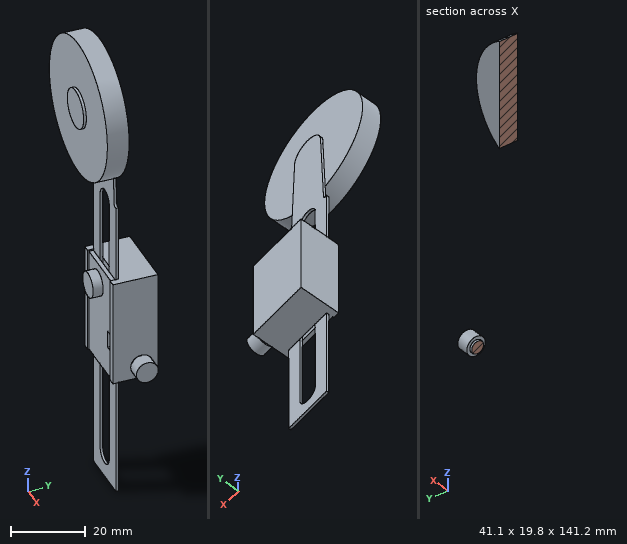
import cadquery as cq


wheel_diameter = 41.15
wheel_thickness = 6.35
spacer_diameter = 7.9
spacer_length = 1.27
rivet_head_diameter = 11.5
rivet_head_thickness = 0.8

overall_height = 141.22
bar_width = 15.875
bar_thickness = 0.8
bar_bottom = wheel_diameter / 2 - overall_height
shoulder_z = -29.4
shoulder_fillet = 0.9
neck_width_at_shoulder = 13.4
neck_end_width = 10.8
neck_end_height = 4.7
slot_width = 6.35
slot_top = -28.4
slot_bottom = -116.2

overall_depth = 19.81
block_width = 20.0
block_height = 31.9
block_top = -52.3
block_bottom = block_top - block_height
block_front = -1.7
wheel_back = -spacer_length
wheel_front = wheel_back - wheel_thickness
block_back = wheel_front - rivet_head_thickness + overall_depth

cover_recess = 0.4
cover_front = block_front + cover_recess
cover_top_drop = 0.4
cover_top = block_top - cover_top_drop
window_width = 2.6
window_height = 5.1
window_z = -72.8

button_diameter = 7.5
button_x = -1.6
button_z = -58.8
button_front = -4.2

screw_shank_diameter = 4.2
screw_head_diameter = 6.35
screw_head_length = 4.0
screw_shank_length = 1.3
screw_from_back = 5.3
screw_y = block_back - screw_from_back
screw_z = -79.3


def box(width, back, front, top, bottom, x_center=0.0):
    """Box given by its width about x_center and its limits in Y and Z."""
    size_y = back - front
    size_z = top - bottom
    center = (x_center, (back + front) / 2, (top + bottom) / 2)
    return cq.Workplane("XY").box(width, size_y, size_z).translate(center)


def disc(diameter, back, front, x=0.0, z=0.0):
    """Cylinder along Y between its back and front faces."""
    plane = cq.Workplane("XZ", origin=(x, back, z))
    return plane.circle(diameter / 2).extrude(back - front)


def make_wheel():
    """Wheel, the spacer between it and the bar, and the rivet head in front."""
    wheel = disc(wheel_diameter, wheel_back, wheel_front)
    spacer = disc(spacer_diameter, 0, wheel_back)
    rivet_head = disc(rivet_head_diameter, wheel_front, wheel_front - rivet_head_thickness)
    return wheel.union(spacer).union(rivet_head)


def make_bar():
    """Slotted bar whose neck tapers up to the wheel axis and ends in an arc above it."""
    half_bar = bar_width / 2
    half_neck = neck_width_at_shoulder / 2
    half_end = neck_end_width / 2

    bar = (
        cq.Workplane("XZ", origin=(0, bar_thickness, 0))
        .moveTo(-half_bar, bar_bottom)
        .lineTo(half_bar, bar_bottom)
        .lineTo(half_bar, shoulder_z)
        .lineTo(half_neck, shoulder_z)
        .lineTo(half_end, 0)
        .threePointArc((0, neck_end_height), (-half_end, 0))
        .lineTo(-half_neck, shoulder_z)
        .lineTo(-half_bar, shoulder_z)
        .close()
        .extrude(bar_thickness)
    )
    for side in (-1, 1):
        corner = (side * half_neck, bar_thickness / 2, shoulder_z)
        bar = bar.edges(cq.selectors.NearestToPointSelector(corner)).fillet(shoulder_fillet)

    slot = (
        cq.Workplane("XZ", origin=(0, bar_thickness, (slot_top + slot_bottom) / 2))
        .slot2D(slot_top - slot_bottom, slot_width, 90)
        .extrude(bar_thickness)
    )
    return bar.cut(slot)


def make_block():
    """Block with a front channel as deep as the back of the bar."""
    block = box(block_width, block_back, block_front, block_top, block_bottom)
    channel = box(bar_width, bar_thickness, block_front, block_top, block_bottom)
    return block.cut(channel)


def make_cover():
    """Cover plate with a window notch in its +X edge and the push button."""
    cover = box(bar_width, 0, cover_front, cover_top, block_bottom)
    window_top = window_z + window_height / 2
    window_x = (bar_width - window_width) / 2
    window = box(window_width, 0, cover_front, window_top, window_top - window_height, window_x)
    button = disc(button_diameter, cover_front, button_front, button_x, button_z)
    return cover.cut(window).union(button)


def make_screw():
    """Screw shank and head standing out of the block along +X."""
    block_side = cq.Workplane("YZ", origin=(block_width / 2, screw_y, screw_z))
    shank = block_side.circle(screw_shank_diameter / 2).extrude(screw_shank_length)
    return shank.faces(">X").workplane().circle(screw_head_diameter / 2).extrude(screw_head_length)


result = make_block().union(make_bar()).union(make_cover()).union(make_screw()).union(make_wheel())